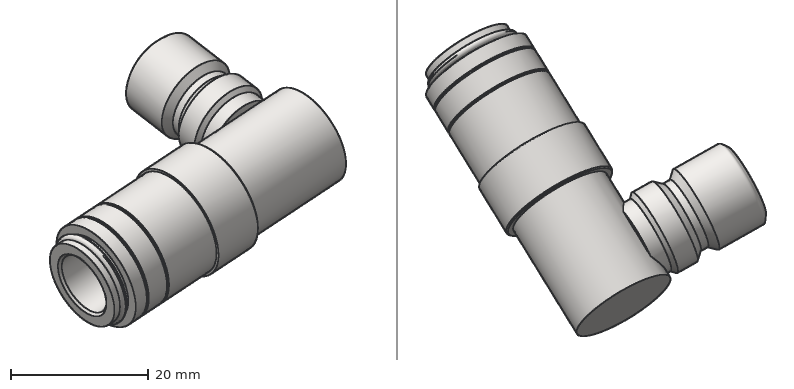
import cadquery as cq
import math


barrel_length = 45.0
branch_offset = 7.25
collar_start = 18.25
collar_length = 8.0
collar_end = collar_start + collar_length
sleeve_end = 42.25
ring_offset = 43.3
groove_starts = (35.65, 39.65)
groove_width = 0.3
groove_depth = 0.15

body_radius = 7.95
collar_radius = 9.0
collar_chamfer = 0.2
sleeve_radius = 8.55
nose_radius = 6.95
ring_radius = 7.5
ring_section_radius = 0.6

mouth_radius = 5.2
wide_bore_radius = 4.8
narrow_bore_radius = 3.5
mouth_chamfer = mouth_radius - wide_bore_radius
wide_bore_start = collar_end
bore_floor = branch_offset - narrow_bore_radius

branch_reach = 25.0
branch_radius = 6.75
branch_bore_radius = 3.0
branch_neck_radius = 6.05
tip_chamfer_length = 0.75
tip_chamfer_height = 1.0
tip_round_radius = 0.5
branch_groove_radius = 5.65
branch_groove_slope = 1.2
branch_groove_start = 8.5
branch_groove_floor_length = 1.25
shoulder_start = 15.5
shoulder_length = branch_radius - branch_neck_radius
neck_end = 18.5


def along_barrel(distance):
    """Y coordinate of a station measured from the closed end."""
    return branch_offset - distance


def barrel_cylinder(radius, start, end):
    """Cylinder on the barrel axis between two stations."""
    plane = cq.Workplane("XZ", origin=(0, along_barrel(start), 0))
    return plane.circle(radius).extrude(end - start)


def make_collar():
    collar = barrel_cylinder(collar_radius, collar_start, collar_end)
    return collar.faces(">Y").chamfer(collar_chamfer)


def make_sleeve():
    sleeve = barrel_cylinder(sleeve_radius, collar_end, sleeve_end)
    for start in groove_starts:
        end = start + groove_width
        groove = barrel_cylinder(sleeve_radius, start, end)
        groove = groove.cut(barrel_cylinder(sleeve_radius - groove_depth, start, end))
        sleeve = sleeve.cut(groove)
    return sleeve


def make_nose():
    """Spigot at the mouth, carrying a round sealing ring."""
    nose = barrel_cylinder(nose_radius, sleeve_end, barrel_length)
    ring = cq.Solid.makeTorus(
        ring_radius - ring_section_radius,
        ring_section_radius,
        cq.Vector(0, along_barrel(ring_offset), 0),
        cq.Vector(0, 1, 0),
    )
    return nose.union(cq.Workplane(ring))


def make_branch():
    """Revolved plug with a rounded tip, a V-sided groove and a neck ending flat in the barrel wall."""
    groove_floor_start = branch_groove_start + branch_groove_slope
    groove_floor_end = groove_floor_start + branch_groove_floor_length
    groove_end = groove_floor_end + branch_groove_slope

    turn = math.atan2(tip_chamfer_height, tip_chamfer_length)
    tangent_length = tip_round_radius * math.tan(turn / 2)
    arc_start = (
        tip_chamfer_length - tangent_length * math.cos(turn),
        branch_radius - tangent_length * math.sin(turn),
    )
    arc_end_x = tip_chamfer_length + tangent_length
    arc_middle = (
        arc_end_x - tip_round_radius * math.sin(turn / 2),
        branch_radius - tip_round_radius * (1 - math.cos(turn / 2)),
    )

    profile = (
        cq.Workplane("XY", origin=(-branch_reach, 0, 0))
        .moveTo(0, 0)
        .lineTo(0, branch_radius - tip_chamfer_height)
        .lineTo(*arc_start)
        .threePointArc(arc_middle, (arc_end_x, branch_radius))
        .lineTo(branch_groove_start, branch_radius)
        .lineTo(groove_floor_start, branch_groove_radius)
        .lineTo(groove_floor_end, branch_groove_radius)
        .lineTo(groove_end, branch_radius)
        .lineTo(shoulder_start, branch_radius)
        .lineTo(shoulder_start + shoulder_length, branch_neck_radius)
        .lineTo(neck_end, branch_neck_radius)
        .lineTo(neck_end, 0)
        .close()
    )
    return profile.revolve(360, (0, 0, 0), (1, 0, 0))


def make_barrel_bore():
    """Narrow bore, wider front bore and a chamfer at the mouth."""
    narrow = barrel_cylinder(narrow_bore_radius, bore_floor, wide_bore_start)
    wide = barrel_cylinder(wide_bore_radius, wide_bore_start, barrel_length)
    mouth = cq.Solid.makeCone(
        mouth_radius,
        wide_bore_radius,
        mouth_chamfer,
        cq.Vector(0, along_barrel(barrel_length), 0),
        cq.Vector(0, 1, 0),
    )
    return narrow.union(wide).union(cq.Workplane(mouth))


def make_branch_bore():
    """Straight bore from the branch tip into the barrel bore."""
    plane = cq.Workplane("YZ", origin=(-branch_reach, 0, 0))
    return plane.circle(branch_bore_radius).extrude(branch_reach)


result = (
    barrel_cylinder(body_radius, 0, collar_start)
    .union(make_collar())
    .union(make_sleeve())
    .union(make_nose())
    .union(make_branch())
    .cut(make_barrel_bore())
    .cut(make_branch_bore())
)